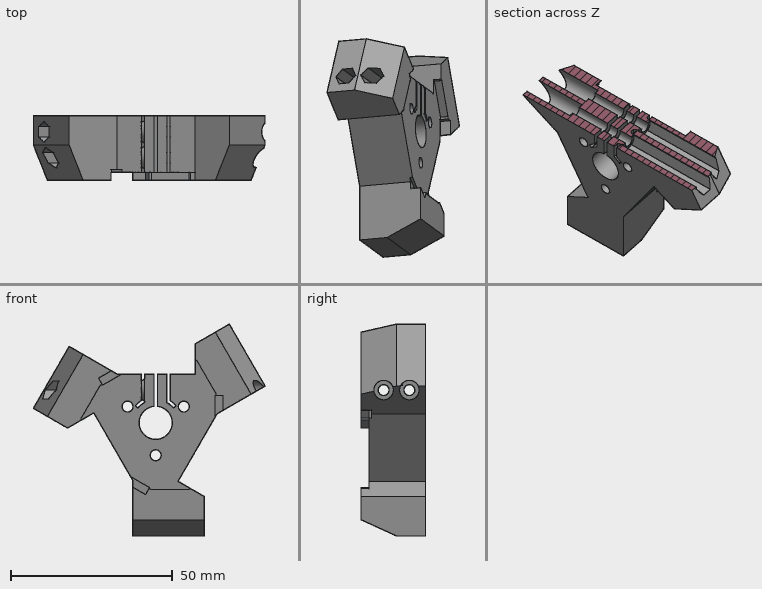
import cadquery as cq
import math

DEPTH = 20.0
PLATE_FRONT = 2.4
ARM_COUNT = 3
ARM_PITCH = 360 / ARM_COUNT

HUB_APOTHEM = 15.0
ARM_LEFT = 7.1
ARM_RIGHT = 15.0
SHOULDER_OFFSET = 12.2
ARM_REACH = 34.95
BEVEL_RUN = 5.0
BEVEL_START = 9.0

RECESS_APOTHEM = 20.0
STEP_APOTHEM = 20.6
STEP_LEFT = -1.35
STEP_RIGHT = 10.25
RELIEF_NEAR = 18.25
RELIEF_WIDTH = 2.5
RELIEF_END = 8.4
RELIEF_FLOOR = PLATE_FRONT + 0.85

BORE_RADIUS = 5.1
MOUNT_RADIUS = 1.65
MOUNT_CIRCLE_RADIUS = 10.0
SLOT_WIDTH = 1.0
SIDE_SLOT_X = 3.95
ARC_INNER_RADIUS = 7.15
ARC_OUTER_RADIUS = ARC_INNER_RADIUS + SLOT_WIDTH
ARC_END_ANGLE = 40.0

SCREW_Z = 10.1
FIRST_SCREW_FROM_REAR = 5.0
SCREW_PITCH = 7.95
SCREW_RADIUS = 1.65
HEAD_RADIUS = 3.0
HEAD_FLOOR_X = 15.75
NUT_FLATS = 5.5
SEAT_START_X = -5.2
SEAT_START_RADIUS = 2.6
SEAT_END_RADIUS = 3.45

CUT_REACH = 50.1


def front_prism(outline, y_start, y_end):
    """Extrude an XZ outline between two Y positions."""
    wire = cq.Workplane("XZ", origin=(0, y_start, 0)).polyline(outline).close()
    return wire.extrude(y_start - y_end)


def y_cylinder(x, z, radius):
    return cq.Workplane("XZ").center(x, z).circle(radius).extrude(-DEPTH)


def turned(body, arm):
    return body.rotate((0, 0, 0), (0, 1, 0), arm * ARM_PITCH)


def triangle(apothem):
    """Triangle with its sides facing up, lower left and lower right."""
    half_side = apothem * math.sqrt(3)
    return [(-half_side, apothem), (half_side, apothem), (0, -2 * apothem)]


def bottom_arm():
    slope = math.radians(30)
    left_root_z = (ARM_LEFT * math.cos(slope) - HUB_APOTHEM) / math.sin(slope)
    right_root_x = HUB_APOTHEM * math.cos(slope) - SHOULDER_OFFSET * math.sin(slope)
    right_root_z = -HUB_APOTHEM * math.sin(slope) - SHOULDER_OFFSET * math.cos(slope)
    shoulder_z = right_root_z - (ARM_RIGHT - right_root_x) * math.tan(slope)
    outline = [
        (-ARM_LEFT, left_root_z),
        (right_root_x, right_root_z),
        (ARM_RIGHT, shoulder_z),
        (ARM_RIGHT, -ARM_REACH),
        (-ARM_LEFT, -ARM_REACH),
    ]
    block = front_prism(outline, 0, DEPTH)
    bevel = (
        cq.Workplane("YZ", origin=(-ARM_LEFT, 0, 0))
        .polyline([
            (0, -ARM_REACH),
            (0, BEVEL_RUN - ARM_REACH),
            (DEPTH - BEVEL_START, -ARM_REACH),
        ])
        .close()
        .extrude(ARM_LEFT + ARM_RIGHT)
    )
    return block.cut(bevel)


def recess_step():
    """Deepen the recess toward one arm, with ends sloping at 30 degrees."""
    end_run = (STEP_APOTHEM - RECESS_APOTHEM) / math.tan(math.radians(30))
    outline = [
        (STEP_LEFT - end_run, -RECESS_APOTHEM),
        (STEP_LEFT, -STEP_APOTHEM),
        (STEP_RIGHT, -STEP_APOTHEM),
        (STEP_RIGHT + end_run, -RECESS_APOTHEM),
    ]
    return front_prism(outline, 0, PLATE_FRONT)


def relief_pocket():
    far = RELIEF_NEAR + RELIEF_WIDTH
    outline = [
        (-CUT_REACH / 2, -RELIEF_NEAR),
        (RELIEF_END, -RELIEF_NEAR),
        (RELIEF_END, -far),
        (-CUT_REACH / 2, -far),
    ]
    return front_prism(outline, 0, RELIEF_FLOOR).rotate((0, 0, 0), (0, 1, 0), 30)


def slot(x, z_bottom):
    left = x - SLOT_WIDTH / 2
    right = x + SLOT_WIDTH / 2
    outline = [(left, z_bottom), (right, z_bottom), (right, HUB_APOTHEM), (left, HUB_APOTHEM)]
    return front_prism(outline, 0, DEPTH)


def side_slot():
    """Right slot with its lower end curving outward around the bore."""
    inner_edge = SIDE_SLOT_X - SLOT_WIDTH / 2
    outer_edge = SIDE_SLOT_X + SLOT_WIDTH / 2
    ring = y_cylinder(0, 0, ARC_OUTER_RADIUS).cut(y_cylinder(0, 0, ARC_INNER_RADIUS))
    end_slope = math.tan(math.radians(ARC_END_ANGLE))
    wedge = front_prism(
        [
            (inner_edge, inner_edge * end_slope),
            (CUT_REACH, CUT_REACH * end_slope),
            (inner_edge, CUT_REACH * end_slope),
        ],
        0,
        DEPTH,
    )
    straight_bottom = math.sqrt(ARC_OUTER_RADIUS**2 - outer_edge**2)
    return slot(SIDE_SLOT_X, straight_bottom).union(ring.intersect(wedge))


def x_plane(x, y):
    return cq.Workplane("YZ", origin=(x, y, SCREW_Z))


body = front_prism(triangle(HUB_APOTHEM), PLATE_FRONT, DEPTH)
for arm in range(ARM_COUNT):
    body = body.union(turned(bottom_arm(), arm))

recess = front_prism(triangle(RECESS_APOTHEM), 0, PLATE_FRONT)
body = body.cut(turned(recess, 0.5))

for arm in range(ARM_COUNT):
    body = body.cut(turned(recess_step(), arm))
    body = body.cut(turned(relief_pocket(), arm))
    body = body.cut(turned(y_cylinder(0, -MOUNT_CIRCLE_RADIUS, MOUNT_RADIUS), arm))

body = body.cut(y_cylinder(0, 0, BORE_RADIUS))
body = body.cut(slot(0, 0))
body = body.cut(side_slot())
body = body.cut(side_slot().mirror("YZ"))

slot_left = -SIDE_SLOT_X - SLOT_WIDTH / 2
slot_right = -SIDE_SLOT_X + SLOT_WIDTH / 2
hex_corners = NUT_FLATS / math.cos(math.pi / 6)
for index in range(2):
    screw_y = DEPTH - FIRST_SCREW_FROM_REAR - index * SCREW_PITCH
    nut_pocket = x_plane(-CUT_REACH, screw_y).polygon(6, hex_corners).extrude(CUT_REACH + slot_left)
    seat = (
        x_plane(SEAT_START_X, screw_y)
        .circle(SEAT_START_RADIUS)
        .workplane(offset=slot_right - SEAT_START_X)
        .circle(SEAT_END_RADIUS)
        .loft()
    )
    screw_hole = x_plane(-CUT_REACH, screw_y).circle(SCREW_RADIUS).extrude(2 * CUT_REACH)
    head_pocket = x_plane(HEAD_FLOOR_X, screw_y).circle(HEAD_RADIUS).extrude(CUT_REACH)
    body = body.cut(nut_pocket).union(seat).cut(screw_hole).cut(head_pocket)

result = body